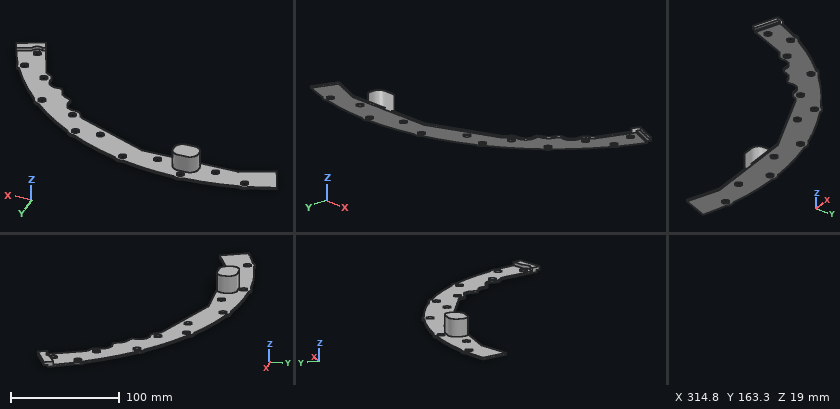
import cadquery as cq
import math

outer_radius = 240.8
bolt_radius = 235.0
inner_bolt_radius = 221.5
hole_radius = 3.5
lobe_radius = 7.2
lobe_blend = 3.8
plate_thickness = 2.0

end_angle = 22.5
far_angle = 90 - end_angle
scallop_axis = 45
front_distance = 211.0
side_distance = 213.0
tooth_radius = 211.5

outer_hole_angles = range(-15, 61, 15)
lobe_hole_offset = 8.9
plain_hole_offset = 19.9
front_hole_angle = 7.5

blend_radius = 8.0
scallop_radius = 9.5
scallop_angle = 39.2
mid_scallop_radius = 12.0
tooth_start = 42.0
tooth_end = 43.0

boss_width = 25.2
boss_depth = 19.2
boss_corner = 8.2
boss_top = 19.0

lap_thickness = 3.0
lap_overlap = 6.0
lap_overhang = 2.8
plate_setback = 1.0
lap_relief_radius = 6.5
lap_relief_blend = 2.2


def polar(radius, angle):
    a = math.radians(angle)
    return (radius * math.sin(a), radius * math.cos(a))


def along(angle, distance, offset):
    """Point at a distance along a ray, then moved clockwise across it."""
    x, y = polar(distance, angle)
    dx, dy = polar(offset, angle + 90)
    return (x + dx, y + dy)


def mirrored(point):
    """Reflection in the 45 degree scallop axis."""
    return (point[1], point[0])


def toward(start, target, length):
    """Point at a length from start in the direction of target."""
    dx = target[0] - start[0]
    dy = target[1] - start[1]
    ratio = length / math.hypot(dx, dy)
    return (start[0] + dx * ratio, start[1] + dy * ratio)


def arc_middle(center, radius, start, end):
    """Middle of the shorter arc between two points of a circle."""
    chord_middle = ((start[0] + end[0]) / 2, (start[1] + end[1]) / 2)
    return toward(center, chord_middle, radius)


def scalloped_half():
    """Slanted edge to first tooth, as the start point and (middle, end) arcs."""
    lobe = polar(inner_bolt_radius, scallop_axis - lobe_hole_offset)
    lobe_turn = math.radians(scallop_axis - lobe_hole_offset - end_angle)
    lobe_along = inner_bolt_radius * math.cos(lobe_turn)
    lobe_across = inner_bolt_radius * math.sin(lobe_turn)
    blend_distance = side_distance - blend_radius
    reach = lobe_radius + blend_radius
    blend_across = lobe_across - math.sqrt(reach**2 - (lobe_along - blend_distance) ** 2)
    blend = along(end_angle, blend_distance, blend_across)
    start = along(end_angle, side_distance, blend_across)
    lobe_start = toward(lobe, blend, lobe_radius)

    scallop_reach = lobe_radius + scallop_radius
    turn = math.radians(scallop_axis - lobe_hole_offset - scallop_angle)
    scallop_distance = inner_bolt_radius * math.cos(turn) - math.sqrt(
        scallop_reach**2 - (inner_bolt_radius * math.sin(turn)) ** 2
    )
    scallop = polar(scallop_distance, scallop_angle)
    lobe_end = toward(lobe, scallop, lobe_radius)
    scallop_end = (scallop[0] + scallop_radius, scallop[1])
    arcs = [
        (arc_middle(blend, blend_radius, start, lobe_start), lobe_start),
        (arc_middle(lobe, lobe_radius, lobe_start, lobe_end), lobe_end),
        (arc_middle(scallop, scallop_radius, lobe_end, scallop_end), scallop_end),
    ]
    return start, arcs


def plate_outline():
    end_reach = math.sqrt(outer_radius**2 - plate_setback**2)
    far_outer = along(far_angle, end_reach, -plate_setback)
    far_inner = along(far_angle, side_distance, -plate_setback)
    turn = math.radians(end_angle)
    corner_x = (side_distance - front_distance * math.cos(turn)) / math.sin(turn)
    half_start, arcs = scalloped_half()
    tooth_tip = polar(tooth_radius, tooth_start)
    tooth_foot = polar(tooth_radius, tooth_end)
    half_chord = tooth_radius * math.sin(math.radians(scallop_axis - tooth_end))
    chord_distance = tooth_radius * math.cos(math.radians(scallop_axis - tooth_end))
    mid_depth = mid_scallop_radius - math.sqrt(mid_scallop_radius**2 - half_chord**2)
    mid_point = polar(chord_distance + mid_depth, scallop_axis)

    outline = (
        cq.Workplane("XY")
        .moveTo(*along(-end_angle, side_distance, plate_setback))
        .lineTo(*along(-end_angle, end_reach, plate_setback))
        .threePointArc(polar(outer_radius, end_angle), far_outer)
        .lineTo(*far_inner)
        .lineTo(*mirrored(half_start))
    )
    for middle, end in arcs:
        outline = outline.threePointArc(mirrored(middle), mirrored(end))
    outline = (
        outline.lineTo(*mirrored(tooth_tip))
        .lineTo(*mirrored(tooth_foot))
        .threePointArc(mid_point, tooth_foot)
        .lineTo(*tooth_tip)
        .lineTo(*arcs[-1][1])
    )
    arc_starts = [half_start] + [end for _, end in arcs[:-1]]
    for (middle, _), arc_start in zip(reversed(arcs), reversed(arc_starts)):
        outline = outline.threePointArc(middle, arc_start)
    return outline.lineTo(corner_x, front_distance).lineTo(-corner_x, front_distance).close()


def discs(centers, radius, height):
    return cq.Workplane("XY").pushPoints(centers).circle(radius).extrude(height)


def boss():
    return (
        cq.Workplane("XY")
        .center(0, front_distance + boss_depth / 2)
        .rect(boss_width, boss_depth)
        .extrude(boss_top)
        .edges("|Z")
        .fillet(boss_corner)
    )


def lap(relief_center):
    """Raised strip overhanging the far end, relieved around the last hole."""
    corners = [
        along(far_angle, side_distance, -lap_overlap),
        along(far_angle, outer_radius, -lap_overlap),
        along(far_angle, outer_radius, lap_overhang),
        along(far_angle, side_distance, lap_overhang),
    ]
    lap_top = plate_thickness + lap_thickness
    rim = cq.Workplane("XY").circle(outer_radius).extrude(lap_top)
    strip = (
        cq.Workplane("XY", origin=(0, 0, plate_thickness))
        .polyline(corners)
        .close()
        .extrude(lap_thickness)
        .intersect(rim)
        .cut(discs([relief_center], lap_relief_radius, lap_top))
    )
    half_width = math.sqrt(lap_relief_radius**2 - relief_depth(relief_center) ** 2)
    center_distance = math.hypot(*relief_center) * math.cos(relief_turn(relief_center))
    corner = along(far_angle, center_distance + half_width, -lap_overlap)
    edge_point = (corner[0], corner[1], plate_thickness + lap_thickness / 2)
    return strip.edges(cq.selectors.NearestToPointSelector(edge_point)).fillet(lap_relief_blend)


def relief_turn(center):
    return math.radians(far_angle) - math.atan2(center[0], center[1])


def relief_depth(center):
    """Distance from the relief centre to the strip's straight edge."""
    return math.hypot(*center) * math.sin(relief_turn(center)) - lap_overlap


def lobe_corners():
    """Points where the outer lobes meet the rim."""
    cosine = (bolt_radius**2 + outer_radius**2 - lobe_radius**2) / (2 * bolt_radius * outer_radius)
    spread = math.degrees(math.acos(cosine))
    return [polar(outer_radius, a + side * spread) for a in outer_hole_angles for side in (-1, 1)]


outer_holes = [polar(bolt_radius, angle) for angle in outer_hole_angles]
inner_hole_angles = [-front_hole_angle, front_hole_angle]
for hole_offset in (lobe_hole_offset, plain_hole_offset):
    inner_hole_angles += [scallop_axis - hole_offset, scallop_axis + hole_offset]
inner_holes = [polar(inner_bolt_radius, angle) for angle in inner_hole_angles]
last_hole = polar(inner_bolt_radius, scallop_axis + plain_hole_offset)

plate = plate_outline().extrude(plate_thickness)
plate = plate.union(discs(outer_holes, lobe_radius, plate_thickness))
for x, y in lobe_corners():
    corner_edge = cq.selectors.NearestToPointSelector((x, y, plate_thickness / 2))
    plate = plate.edges(corner_edge).fillet(lobe_blend)
plate = plate.cut(discs(outer_holes + inner_holes, hole_radius, plate_thickness))

result = plate.union(boss()).union(lap(last_hole))